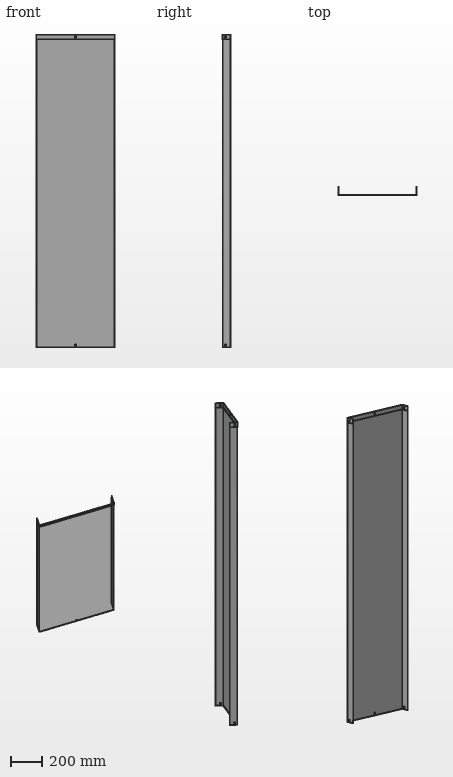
import cadquery as cq

width = 502.0
depth = 52.0
height = 1999.0
sheet = 1.0

socket_height = 30.0
flare_height = 1.0
body_height = height - socket_height - flare_height
socket_base = body_height + flare_height

hole_diameter = 7.0
hole_inset = 15.0
side_hole_y = 20.0


def channel_outline(plane, inset):
    """U-shaped sheet outline, open toward +Y, inset from the socket's outer faces."""
    half = width / 2 - inset
    inner_half = half - sheet
    return plane.polyline([
        (-half, depth),
        (-half, inset),
        (half, inset),
        (half, depth),
        (inner_half, depth),
        (inner_half, inset + sheet),
        (-inner_half, inset + sheet),
        (-inner_half, depth),
    ]).close()


def holes_at(z):
    """Cutters for one hole through the front and one through both side walls."""
    radius = hole_diameter / 2
    front = cq.Workplane("XZ").center(0, z).circle(radius).extrude(-depth)
    sides = cq.Workplane("YZ").center(side_hole_y, z).circle(radius).extrude(width / 2, both=True)
    return front.union(sides)


body = channel_outline(cq.Workplane("XY"), sheet).extrude(body_height)

flare_start = channel_outline(cq.Workplane("XY").workplane(offset=body_height), sheet)
flare = channel_outline(flare_start.workplane(offset=flare_height), 0).loft(ruled=True)

socket = channel_outline(cq.Workplane("XY").workplane(offset=socket_base), 0).extrude(socket_height)

result = body.union(flare).union(socket)

for hole_z in (hole_inset, height - hole_inset):
    result = result.cut(holes_at(hole_z))